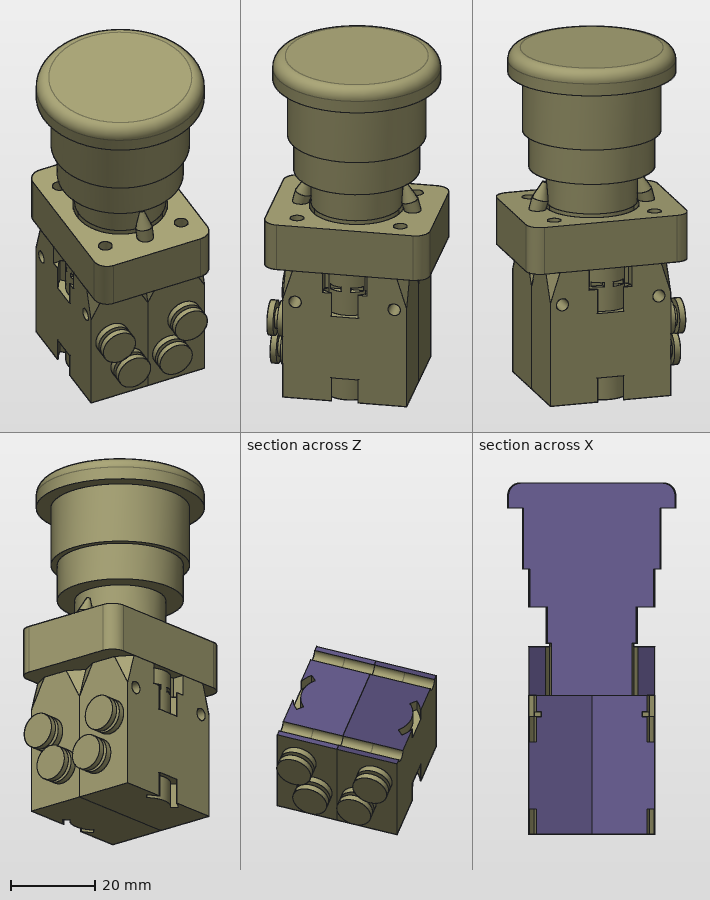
import cadquery as cq
import math

valve_width = 30.0
valve_thickness = 15.0
valve_height = 33.0
valve_center_y = valve_thickness / 2

mount_hole_diameter = 3.0
mount_hole_x = 12.0
mount_hole_z = 25.0

corner_cut_x = 2.35
corner_cut_y = 4.1
corner_cut_height = 7.5

core_radius = 6.25
window_width = 6.4
channel_radius = 8.0
channel_half_angle = 45.0
lower_channel_top = 6.0
upper_channel_bottom = 22.0

pocket_width = 10.7
pocket_depth = 3.0
pocket_floor_z = 28.0
notch_inner_x = 1.1
notch_outer_x = 4.0
notch_height = 1.1

fitting_diameter = 8.5
fitting_neck_diameter = 5.0
fitting_collar_length = 1.6
fitting_neck_length = 1.0
fitting_flange_length = 1.5
fitting_places = ((2.0, 9.0), (-2.0, 18.0))

plate_length = 40.0
plate_width = 30.0
plate_height = 11.6
plate_corner_radius = 3.5
plate_hole_diameter = 3.25
plate_hole_x = 12.5
plate_hole_y = 10.0
stem_hole_diameter = 22.5
plate_top_z = valve_height + plate_height

button_steps = ((20.0, 45.4), (21.7, 54.0), (30.0, 63.0), (33.0, 77.5), (40.0, 83.5))
button_rim_radius = 3.0

pin_diameter = 4.0
pin_tip_diameter = 1.0
pin_base_x = 13.5
pin_shank_length = 2.5
pin_cone_length = 4.3
pin_lean = 15.0


def make_corner_cut(side_x, side_y):
    """Slab lying outside the sloping face of one upper corner; side_x and side_y are +1 or -1."""
    start_of_slope = (
        side_x * valve_width / 2,
        side_y * valve_thickness / 2,
        valve_height - corner_cut_height,
    )
    slope_normal = (side_x / corner_cut_x, side_y / corner_cut_y, 1 / corner_cut_height)
    along_slope = (side_x * corner_cut_x, -side_y * corner_cut_y, 0)
    slope = cq.Plane(origin=start_of_slope, xDir=along_slope, normal=slope_normal)
    return cq.Workplane(slope).rect(valve_width, valve_width).extrude(valve_thickness)


def make_sector(bottom_z, top_z):
    """Pie-shaped sector around the Z axis with a straight window through the -Y face."""
    height = top_z - bottom_z
    window = (
        cq.Workplane("XY", origin=(0, -valve_thickness / 4, bottom_z))
        .box(window_width, valve_thickness / 2, height, centered=(True, True, False))
    )
    angle = math.radians(channel_half_angle)
    edge_x = channel_radius * math.sin(angle)
    edge_y = -channel_radius * math.cos(angle)
    return (
        cq.Workplane("XY", origin=(0, 0, bottom_z))
        .lineTo(-edge_x, edge_y)
        .threePointArc((0, -channel_radius), (edge_x, edge_y))
        .close()
        .extrude(height)
        .union(window)
    )


def make_core():
    """Round vertical core that the channels and the pocket leave standing."""
    return cq.Workplane("XY").circle(core_radius).extrude(valve_height)


def make_pocket_box(center_x, width, height):
    """Box standing on the pocket floor, reaching from the -Y face to the pocket's back wall."""
    center_y = (pocket_depth - valve_thickness) / 2
    return (
        cq.Workplane("XY", origin=(center_x, center_y, pocket_floor_z))
        .box(width, pocket_depth, height, centered=(True, True, False))
    )


def make_upper_recess():
    """Upper channel and the pocket above it, less the core, plus the two notches in the core."""
    channel = make_sector(upper_channel_bottom, pocket_floor_z)
    pocket = make_pocket_box(0, pocket_width, valve_height - pocket_floor_z)
    recess = channel.union(pocket).cut(make_core())
    notch_width = notch_outer_x - notch_inner_x
    notch_x = (notch_inner_x + notch_outer_x) / 2
    for side in (-1, 1):
        recess = recess.union(make_pocket_box(side * notch_x, notch_width, notch_height))
    return recess


def make_fitting(center_y, center_z):
    """Grooved tube fitting standing out of the +X face."""
    return (
        cq.Workplane("YZ", origin=(valve_width / 2, center_y, center_z))
        .circle(fitting_diameter / 2)
        .extrude(fitting_collar_length)
        .faces(">X")
        .workplane()
        .circle(fitting_neck_diameter / 2)
        .extrude(fitting_neck_length)
        .faces(">X")
        .workplane()
        .circle(fitting_diameter / 2)
        .extrude(fitting_flange_length)
    )


def make_valve():
    """Valve block centred on the Z axis, with its channels in the -Y face."""
    valve = cq.Workplane("XY").box(
        valve_width, valve_thickness, valve_height, centered=(True, True, False)
    )
    for side_x in (-1, 1):
        for side_y in (-1, 1):
            valve = valve.cut(make_corner_cut(side_x, side_y))
    valve = valve.cut(make_sector(0, lower_channel_top).cut(make_core()))
    valve = valve.cut(make_upper_recess())
    mount_holes = (
        cq.Workplane("XZ")
        .pushPoints([(-mount_hole_x, mount_hole_z), (mount_hole_x, mount_hole_z)])
        .circle(mount_hole_diameter / 2)
        .extrude(valve_thickness, both=True)
    )
    valve = valve.cut(mount_holes)
    for center_y, center_z in fitting_places:
        valve = valve.union(make_fitting(center_y, center_z))
    return valve


def make_plate():
    """Rounded plate on top of both valves, with four screw holes and a hole for the button's stem."""
    return (
        cq.Workplane("XY", origin=(0, 0, valve_height))
        .box(plate_length, plate_width, plate_height, centered=(True, True, False))
        .edges("|Z")
        .fillet(plate_corner_radius)
        .faces(">Z")
        .workplane()
        .rect(2 * plate_hole_x, 2 * plate_hole_y, forConstruction=True)
        .vertices()
        .hole(plate_hole_diameter)
        .faces(">Z")
        .workplane()
        .hole(stem_hole_diameter)
    )


def make_button():
    """Stepped round push button with a rounded upper rim."""
    button = cq.Workplane("XY")
    bottom_z = valve_height
    for diameter, top_z in button_steps:
        step = cq.Workplane("XY", origin=(0, 0, bottom_z)).circle(diameter / 2).extrude(top_z - bottom_z)
        button = button.union(step)
        bottom_z = top_z
    return button.faces(">Z").edges().fillet(button_rim_radius)


def make_pin(side):
    """Leaning pointed pin, its foot trimmed flat on the plate; side is +1 or -1 along X."""
    buried_length = pin_diameter
    shoulder_radius = pin_diameter / 2
    pin = (
        cq.Workplane("XZ")
        .polyline([
            (0, -buried_length),
            (shoulder_radius, -buried_length),
            (shoulder_radius, pin_shank_length),
            (pin_tip_diameter / 2, pin_shank_length + pin_cone_length),
            (0, pin_shank_length + pin_cone_length),
        ])
        .close()
        .revolve(360, (0, 0, 0), (0, 1, 0))
        .rotate((0, 0, 0), (0, 1, 0), -side * pin_lean)
    )
    trim_size = 4 * pin_diameter
    below_plate = cq.Workplane("XY").rect(trim_size, trim_size).extrude(-trim_size)
    return pin.cut(below_plate).translate((side * pin_base_x, 0, plate_top_z))


front_valve = make_valve().translate((0, -valve_center_y, 0))
valves = [front_valve, front_valve.mirror("XZ")]
plate = make_plate()
button = make_button()
pins = [make_pin(side) for side in (-1, 1)]

result = cq.Compound.makeCompound([
    *[valve.val() for valve in valves],
    plate.val(),
    button.val(),
    *[pin.val() for pin in pins],
])